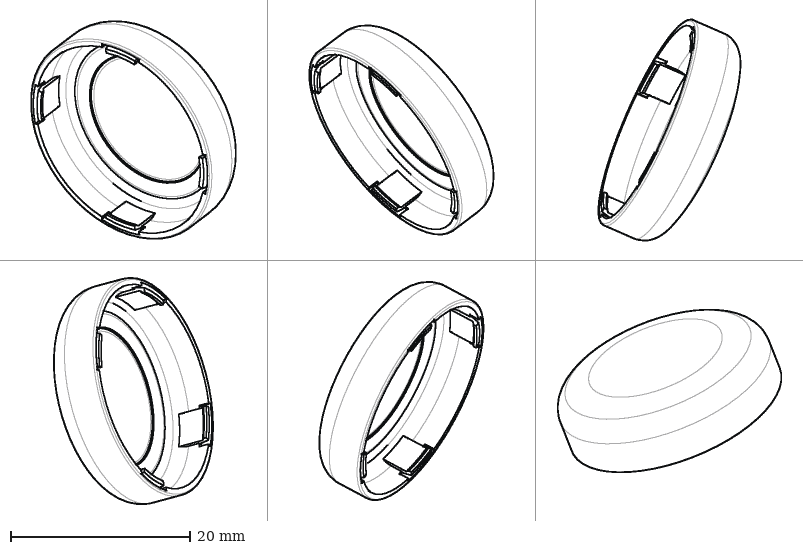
import cadquery as cq
import math


outer_radius = 12.5
cap_height = 7.7
rim_fillet = 0.2
shoulder_start = 3.95
shoulder_radius = 2.5
shoulder_end_radius = 11.0
crown_radius = 7.9
crown_edge_height = 7.13
crown_slope_mid = (9.55, 6.75)

wall_radius = 11.7
cove_start = 2.72
cove_radius = 2.0
cove_end = (10.8, 4.33)
ledge_outer_radius = 9.8
ledge_inner_radius = 9.5
ledge_depth = 4.73
recess_edge = (8.0, 5.07)
recess_floor_outer = (7.88, 5.2)
recess_floor_inner_radius = 7.6
recess_floor_inner_depth = 5.25
cavity_depth = 5.8

clip_count = 4
clip_half_angle = 10.2
clip_back_depth = 5.0
clip_inner_radius = 11.35
clip_root_radius = 11.85
clip_tip_outer_radius = 11.55
bead_inner_radius = 11.05
bead_length = 0.35
bead_end = 0.65
notch_half_angle = 12.5
notch_radius = 12.07
notch_depth = 1.25


def revolve_profile(profile, angle=360.0):
    """Turn a closed (radius, y) profile about the Y axis."""
    return profile.close().revolve(angle, (0, 0, 0), (0, 1, 0))


def centred_sector(profile, half_angle):
    """Turn a profile through a sector that is centred on the +X direction."""
    sector = revolve_profile(profile, 2 * half_angle)
    return sector.rotate((0, 0, 0), (0, 1, 0), -half_angle)


def dome_mid(edge_radius, edge_height, apex_height):
    """Point at half the edge radius on the spherical arc from the edge to the apex."""
    sag = apex_height - edge_height
    sphere_radius = (edge_radius**2 + sag**2) / (2 * sag)
    radius = edge_radius / 2
    drop = sphere_radius - math.sqrt(sphere_radius**2 - radius**2)
    return (radius, apex_height - drop)


def make_outer_body():
    shoulder_reach = shoulder_end_radius - (outer_radius - shoulder_radius)
    shoulder_rise = math.sqrt(shoulder_radius**2 - shoulder_reach**2)
    shoulder_end = (shoulder_end_radius, shoulder_start + shoulder_rise)
    profile = (
        cq.Workplane("XY")
        .lineTo(outer_radius - rim_fillet, 0)
        .radiusArc((outer_radius, rim_fillet), -rim_fillet)
        .lineTo(outer_radius, shoulder_start)
        .radiusArc(shoulder_end, -shoulder_radius)
        .threePointArc(crown_slope_mid, (crown_radius, crown_edge_height))
        .threePointArc(dome_mid(crown_radius, crown_edge_height, cap_height), (0, cap_height))
    )
    return revolve_profile(profile)


def make_cavity():
    crown_mid = dome_mid(recess_floor_inner_radius, recess_floor_inner_depth, cavity_depth)
    profile = (
        cq.Workplane("XY")
        .lineTo(wall_radius, 0)
        .lineTo(wall_radius, cove_start)
        .radiusArc(cove_end, -cove_radius)
        .lineTo(ledge_outer_radius, ledge_depth)
        .lineTo(ledge_inner_radius, ledge_depth)
        .lineTo(*recess_edge)
        .lineTo(*recess_floor_outer)
        .lineTo(recess_floor_inner_radius, recess_floor_inner_depth)
        .threePointArc(crown_mid, (0, cavity_depth))
    )
    return revolve_profile(profile)


def make_notch():
    """Sector cut into the rim that frees the tip of a clip from the wall."""
    profile = (
        cq.Workplane("XY")
        .moveTo(clip_inner_radius, 0)
        .lineTo(notch_radius, 0)
        .lineTo(notch_radius, notch_depth)
        .lineTo(clip_inner_radius, notch_depth)
    )
    return centred_sector(profile, notch_half_angle)


def make_clip():
    """Curved tongue with a bead inside its tip; its back end runs into the cove."""
    profile = (
        cq.Workplane("XY")
        .moveTo(bead_inner_radius, 0)
        .lineTo(clip_tip_outer_radius, 0)
        .lineTo(clip_root_radius, notch_depth)
        .lineTo(clip_root_radius, clip_back_depth)
        .lineTo(clip_inner_radius, clip_back_depth)
        .lineTo(clip_inner_radius, bead_end)
        .lineTo(bead_inner_radius, bead_length)
    )
    return centred_sector(profile, clip_half_angle)


def make_cap():
    cap = make_outer_body().cut(make_cavity())
    notch = make_notch()
    clip = make_clip()
    for index in range(clip_count):
        angle = index * 360.0 / clip_count
        cap = cap.cut(notch.rotate((0, 0, 0), (0, 1, 0), angle))
        cap = cap.union(clip.rotate((0, 0, 0), (0, 1, 0), angle))
    return cap


result = make_cap()